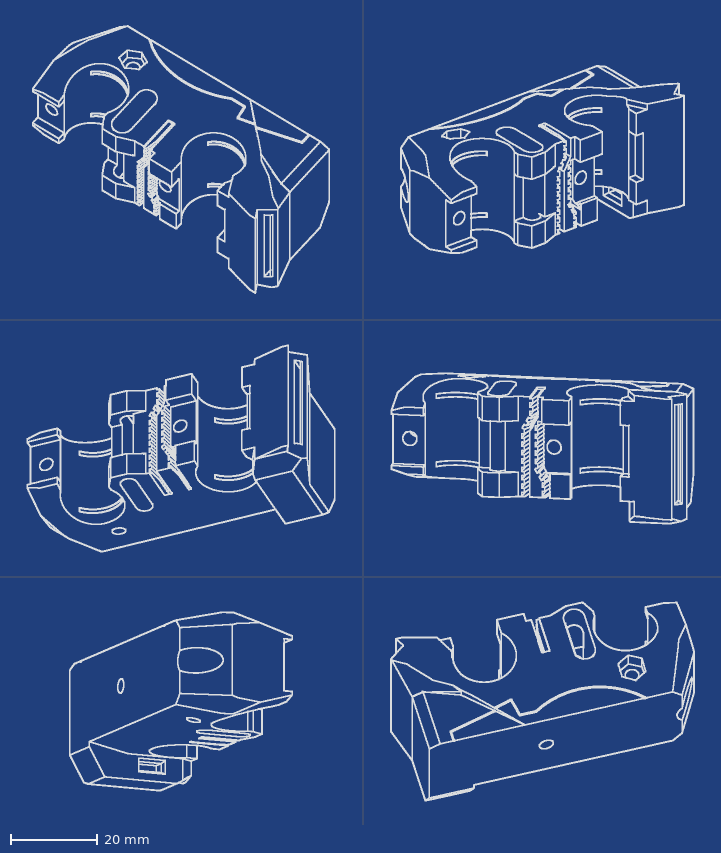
import cadquery as cq
import math


BODY_TOP = 12.0
LENGTH = 69.41
FRONT = -29.0
LIP_FRONT = -26.07
BELT_FACE = -26.9
NOSE_FRONT = -28.53
ARM_INNER_X = 7.6
NOSE_LEFT_X = 20.3
NOSE_TIP_LEFT_X = 22.0
NOSE_TIP_RIGHT_X = 26.0
BELT_FACE_LEFT_X = 30.2
BLOCK_LEFT_X = 36.03
BLOCK_RIGHT_X = 42.5
RIGHT_ARM_X = 54.25

BORE_R = 7.5
BORE_Y = -20.05
BORE_XS = (14.0, 48.0)
ARM_NECK_Y = -23.9

SLOPE_Y = -10.0
BACK_EDGE_Z = 10.0
CORNER_X = 5.8
CORNER_Y = -10.68
ARM_SLOPE_Y = -12.54
ARM_FRONT_Z = 8.0
EDGE_X = 3.19

END_TOP = 13.42
END_BOTTOM = -18.0
FRONT_BOTTOM = -15.45
END_LEFT_X = 55.8
END_LEFT_FRONT_Y = -23.86
END_CORNER = (57.5, BELT_FACE)
END_BACK_X = 66.6
BEAK_X = 65.15
BEAK_TIP_X = 66.8
RAMP_START_Y = -16.4
RAMP_END_Y = -21.5
SHELF_Z = 10.0
SHELF_BEVEL_X = 64.0
SHELF_BEVEL_SLOPE = 0.41
SHELF_FRONT_Y = -15.36

RECESS_HALF = 6.15
RECESS_Y = -24.0
BLOCK_RECESS_Y = LIP_FRONT
RIGHT_RECESS_X = 56.3
SCREW_D = 3.3
SCREW_HEAD_D = 6.0
SCREW_HEAD_DEPTH = 15.0
SCREW_XS = (4.0, 38.45)
NUT_FLATS = 5.7
NUT_FLOOR_Z = 8.45
NUT_HOLE_D = 3.2
NUT_X = 15.67
NUT_Y = -8.05

SLOT_X = 25.05
SLOT_W = 4.0
SLOT_BACK_Y = -13.4
SLOT_FRONT_Y = -26.75
SLOT_FLARE = 0.5
SLOT_FLARE_DEPTH = 2.0

BELT_FLOOR_Y = -17.35
BELT_LEAD_Y = -23.5
BELT_GAP = 0.66
BELT_MOUTH_GAP = 1.25
GROOVE_GAP = 1.88
GROOVE_W = 1.0
PITCH = 2.0
LEAN = 30.0
BLOCK_LOWER_X = 37.7
BLOCK_LOWER_Y = -27.2

RIDGE_Z = 8.15
RIDGE_W = 1.05
RIDGE_HEIGHT = 0.15
RIDGE_HALF = 5.4
SEAM = 0.2
POCKET_BACK_Y = -12.7
POCKET_FRONT_Y = -19.5
POCKET_TOP_Z = -12.8
POCKET_BOTTOM_Z = -16.05
POCKET_INSET = 0.55
POCKET_FLARE = 1.2
POCKET_DEPTH = 4.0
BEAK_SLOT_TOP = 11.3
BEAK_SLOT_BOTTOM = -12.6

BIG = 100.0
OVERCUT = 1.0


def box(x0, x1, y0, y1, z0, z1):
    """Box between two opposite corners."""
    return cq.Workplane("XY").box(x1 - x0, y1 - y0, z1 - z0, centered=False).translate((x0, y0, z0))


def prism(points, z0, z1):
    """Plan outline extruded from z0 up to z1."""
    return cq.Workplane("XY").workplane(offset=z0).polyline(points).close().extrude(z1 - z0)


def beyond_plane(p1, p2, p3, side=1):
    """Everything above (side = 1) or below (side = -1) the plane through three points."""
    a, b, c = cq.Vector(*p1), cq.Vector(*p2), cq.Vector(*p3)
    normal = (b - a).cross(c - a)
    if normal.z * side < 0:
        normal = normal * -1
    plane = cq.Plane(origin=p1, xDir=(b - a).toTuple(), normal=normal.toTuple())
    return cq.Workplane(plane).rect(2 * BIG, 2 * BIG).extrude(BIG)


def end_outline():
    """Front and right edges of the end block, from its front left corner to the back."""
    return [
        END_CORNER,
        (BEAK_X, FRONT),
        (BEAK_TIP_X, FRONT),
        (65.6, -26.75),
        (LENGTH, -23.8),
        (END_BACK_X, SHELF_FRONT_Y),
    ]


def main_body():
    """Plan outline of the whole part at full body height."""
    outline = [
        (CORNER_X, 0),
        (0, CORNER_Y),
        (0, LIP_FRONT),
        (ARM_INNER_X, LIP_FRONT),
        (ARM_INNER_X, ARM_NECK_Y),
        (NOSE_LEFT_X, ARM_NECK_Y),
        (NOSE_LEFT_X, -25.45),
        (NOSE_TIP_LEFT_X, NOSE_FRONT),
        (NOSE_TIP_RIGHT_X, NOSE_FRONT),
        (BELT_FACE_LEFT_X, BELT_FACE),
        (BLOCK_LEFT_X, BELT_FACE),
        (BLOCK_LEFT_X, FRONT),
        (BLOCK_RIGHT_X, FRONT),
        (BLOCK_RIGHT_X, ARM_NECK_Y),
        (RIGHT_ARM_X, ARM_NECK_Y),
        (RIGHT_ARM_X, BELT_FACE),
        *end_outline(),
        (END_BACK_X, 0),
    ]
    return prism(outline, -BODY_TOP, BODY_TOP)


def top_facets():
    """Material outside the sloping faces of the upper half of the main body."""
    back_edge = (8.05, 0, BACK_EDGE_Z)
    slope_corner = (4.08, SLOPE_Y, BODY_TOP)
    arm_corner = (EDGE_X, ARM_SLOPE_Y, BODY_TOP)
    arm_front = (EDGE_X, LIP_FRONT, ARM_FRONT_Z)
    side_back = (0, -12.1, 8.82)
    side_front = (0, -17.95, 9.4)
    back_slope = beyond_plane((0, 0, BACK_EDGE_Z), (BIG, 0, BACK_EDGE_Z), slope_corner)
    corner_facets = [
        beyond_plane(back_edge, slope_corner, (CORNER_X, 0, 7.8)),
        beyond_plane(slope_corner, arm_corner, side_back),
        beyond_plane(arm_corner, side_back, side_front),
        beyond_plane(arm_corner, arm_front, side_front),
    ]
    arm_slope = beyond_plane(arm_corner, (BIG, ARM_SLOPE_Y, BODY_TOP), arm_front)
    arm_slope = arm_slope.intersect(box(-OVERCUT, BORE_XS[0], FRONT, 0, 0, BIG))
    return [back_slope, arm_slope, *corner_facets]


def end_block_lower():
    """Downward extension of the end block, sloped at the back, front and right."""
    outline = [(END_LEFT_X, 0), (END_LEFT_X, END_LEFT_FRONT_Y), *end_outline(), (END_BACK_X, 0)]
    block = prism(outline, END_BOTTOM, 0)
    block = block.cut(beyond_plane((0, 0, -11.2), (BIG, 0, -11.2), (0, -3.96, END_BOTTOM), -1))
    chamfer = cq.Workplane("YZ").polyline(
        [(-22.5, END_BOTTOM), (BELT_FACE, FRONT_BOTTOM), (FRONT, FRONT_BOTTOM), (FRONT, END_BOTTOM)]
    )
    block = block.cut(chamfer.close().extrude(LENGTH))
    return block.cut(
        beyond_plane((BEAK_X, 0, END_BOTTOM), (BEAK_X, FRONT, END_BOTTOM), (LENGTH, 0, -16.3), -1)
    )


def end_block_upper():
    """Raised end: a ramp rising toward the front, then a flat. Its left edge is trimmed by the bore."""
    inside_bore = [(52.0, RAMP_START_Y), (53.5, -18.7)]
    outline = [
        *inside_bore,
        *end_outline(),
        (END_BACK_X, RAMP_START_Y),
    ]
    block = prism(outline, 0, END_TOP)
    return block.cut(
        beyond_plane((0, RAMP_START_Y, BODY_TOP), (BIG, RAMP_START_Y, BODY_TOP), (0, RAMP_END_Y, END_TOP))
    )


def cut_shelf(part):
    """Low shelf at the back right, its bevelled end and the facet rising to the raised end."""
    wall_back = (43.6, 0)
    wall_front = (55.7, -12.0)
    wall_top = (57.2, -13.85)
    shelf_front = (SHELF_BEVEL_X, -15.2)
    shelf = prism([wall_back, wall_front, shelf_front, (LENGTH, SHELF_FRONT_Y), (LENGTH, 0)], SHELF_Z, BIG)
    facet = beyond_plane((*wall_top, BODY_TOP), (61.1, -16.3, BODY_TOP), (66.25, RAMP_END_Y, END_TOP))
    facet_outline = [
        shelf_front,
        wall_front,
        wall_top,
        (wall_top[0], FRONT),
        (LENGTH, FRONT),
        (LENGTH, SHELF_FRONT_Y),
    ]
    facet = facet.intersect(prism(facet_outline, 0, BIG))
    bevel = beyond_plane(
        (SHELF_BEVEL_X, 0, SHELF_Z),
        (SHELF_BEVEL_X, FRONT, SHELF_Z),
        (SHELF_BEVEL_X + 1, 0, SHELF_Z - SHELF_BEVEL_SLOPE),
    )
    bevel = bevel.intersect(box(SHELF_BEVEL_X, LENGTH, SHELF_FRONT_Y, 0, 0, BIG))
    return part.cut(shelf).cut(facet).cut(bevel)


def bore_cutter(x):
    """Bearing bore less the two thin ridges that grip the bearing at the back."""
    bore = cq.Workplane("XY").circle(BORE_R).extrude(2 * BIG).translate((0, 0, -BIG))
    bore = bore.rotate((0, 0, 0), (0, 0, 1), -90)
    core = cq.Workplane("XY").circle(BORE_R - RIDGE_HEIGHT).extrude(2 * BIG).translate((0, 0, -BIG))
    for side in (1, -1):
        ridge = cq.Workplane("XY").box(2 * RIDGE_HALF, BORE_R, RIDGE_W)
        ridge = ridge.translate((0, BORE_R / 2, side * RIDGE_Z))
        bore = bore.cut(ridge.cut(core))
    return bore.translate((x, BORE_Y, 0))


def recess_cutter():
    """Mid-height recesses at the bore mouths, and the set-back lower part of the middle block."""
    low, high = -RECESS_HALF, RECESS_HALF
    slot_right = SLOT_X + SLOT_W / 2
    recess = box(-OVERCUT, ARM_INNER_X + OVERCUT, FRONT, RECESS_Y, low, high)
    recess = recess.union(box(NOSE_LEFT_X - OVERCUT, slot_right, FRONT, RECESS_Y, low, high))
    recess = recess.union(box(slot_right, BLOCK_RIGHT_X + OVERCUT, FRONT, BELT_FACE, low, high))
    recess = recess.union(box(BLOCK_LEFT_X, BLOCK_RIGHT_X + OVERCUT, FRONT, BLOCK_RECESS_Y, low, high))
    recess = recess.union(box(RIGHT_ARM_X - OVERCUT, RIGHT_RECESS_X, FRONT, RECESS_Y, low, high))
    recess = recess.union(box(BLOCK_LEFT_X, BLOCK_RIGHT_X + OVERCUT, FRONT, BLOCK_LOWER_Y, -BODY_TOP, low))
    return recess.union(box(BLOCK_LEFT_X, BLOCK_LOWER_X, FRONT, BELT_FACE, -BODY_TOP, low))


def slot_cutter():
    """Vertical cable slot with a flared top."""
    length = SLOT_BACK_Y - SLOT_FRONT_Y
    y = (SLOT_BACK_Y + SLOT_FRONT_Y) / 2
    slot = cq.Workplane("XY").slot2D(length, SLOT_W, 90).extrude(2 * BODY_TOP)
    rim = (
        cq.Workplane("XY")
        .slot2D(length + 2 * SLOT_FLARE, SLOT_W + 2 * SLOT_FLARE, 90)
        .extrude(-SLOT_FLARE_DEPTH, taper=math.degrees(math.atan2(SLOT_FLARE, SLOT_FLARE_DEPTH)))
        .translate((0, 0, 2 * BODY_TOP))
    )
    return slot.union(rim).translate((SLOT_X, y, -BODY_TOP))


def belt_slot(wall, lean, groove_runs):
    """Belt slot whose right wall is a vertical, leaning, vertical path.

    wall lists the four (x, z) path points from the top, lean is the sideways direction
    (-1 left, 1 right) of the middle leg going down. Each groove run is (leg index, z of the
    first groove, number of grooves), counted downward.
    """
    miter = -lean * math.tan(math.radians(LEAN / 2))

    def offset(gap):
        (x0, z0), (x1, z1), (x2, z2), (x3, z3) = wall
        return [(x0 - gap, z0), (x1 - gap, z1 + miter * gap), (x2 - gap, z2 + miter * gap), (x3 - gap, z3)]

    def strip(gap):
        return wall + offset(gap)[::-1]

    slot = cq.Workplane("XZ", origin=(0, BELT_FLOOR_Y, 0)).polyline(strip(BELT_GAP)).close()
    slot = slot.extrude(BELT_FLOOR_Y - BELT_FACE)
    lead_in = cq.Workplane("XZ", origin=(0, BELT_LEAD_Y, 0)).polyline(strip(BELT_GAP)).close()
    lead_in = lead_in.workplane(offset=BELT_LEAD_Y - BELT_FACE).polyline(strip(BELT_MOUTH_GAP)).close()
    slot = slot.union(lead_in.loft(ruled=True))

    bottoms = offset(GROOVE_GAP)
    for leg, first_z, count in groove_runs:
        (xa, za), (xb, zb) = bottoms[leg], bottoms[leg + 1]
        angle = math.atan2(xb - xa, za - zb)
        for i in range(count):
            z = first_z - i * PITCH * math.cos(angle)
            x = xa + (za - z) * math.tan(angle)
            groove = box(0, GROOVE_GAP - BELT_GAP / 2, BELT_FACE, BELT_FLOOR_Y, -GROOVE_W / 2, GROOVE_W / 2)
            groove = groove.rotate((0, 0, 0), (0, 1, 0), -math.degrees(angle))
            slot = slot.union(groove.translate((x, 0, z)))
    return slot


def left_belt_slot():
    """Belt slot that runs the full body height."""
    top_x, bottom_x, bend_z = 34.78, 32.85, 7.2
    lower_bend_z = bend_z - (top_x - bottom_x) / math.tan(math.radians(LEAN))
    wall = [(top_x, BODY_TOP), (top_x, bend_z), (bottom_x, lower_bend_z), (bottom_x, -BODY_TOP)]
    return belt_slot(wall, -1, [(0, 12.03, 3), (1, 6.65, 2), (2, 2.55, 8)])


def right_belt_slot():
    """Belt slot that starts under the upper part of the middle block."""
    top_x, bottom_x, bend_z = BLOCK_LEFT_X, BLOCK_LOWER_X, -4.9
    lower_bend_z = bend_z - (bottom_x - top_x) / math.tan(math.radians(LEAN))
    wall = [(top_x, RECESS_HALF), (top_x, bend_z), (bottom_x, lower_bend_z), (bottom_x, -BODY_TOP)]
    return belt_slot(wall, 1, [(0, 4.6, 5), (1, -5.75, 2), (2, -9.0, 2)])


def screw_cutter():
    """Front-to-back screw holes; the left one has a head counterbore from the back."""
    holes = cq.Workplane("XZ").pushPoints([(x, 0) for x in SCREW_XS]).circle(SCREW_D / 2).extrude(-FRONT)
    head = cq.Workplane("XZ").center(SCREW_XS[0], 0).circle(SCREW_HEAD_D / 2).extrude(SCREW_HEAD_DEPTH)
    return holes.union(head)


def nut_cutter():
    """Vertical screw hole with a hexagonal nut pocket from the top, points along Y."""
    corners = NUT_FLATS / math.cos(math.radians(30))
    hole = cq.Workplane("XY").circle(NUT_HOLE_D / 2).extrude(2 * BODY_TOP).translate((0, 0, -BODY_TOP))
    nut = cq.Workplane("XY").polygon(6, corners).extrude(BODY_TOP)
    nut = nut.rotate((0, 0, 0), (0, 0, 1), 30).translate((0, 0, NUT_FLOOR_Z))
    return hole.union(nut).translate((NUT_X, NUT_Y, 0))


def pocket_cutter():
    """Flared pocket in the left face of the lower end block."""
    y = (POCKET_BACK_Y + POCKET_FRONT_Y) / 2
    z = (POCKET_TOP_Z + POCKET_BOTTOM_Z) / 2
    width = POCKET_BACK_Y - POCKET_FRONT_Y
    height = POCKET_TOP_Z - POCKET_BOTTOM_Z
    inner_width = width - 2 * POCKET_INSET
    inner_height = height - 2 * POCKET_INSET
    mouth = cq.Workplane("YZ", origin=(END_LEFT_X, y, z)).rect(width, height)
    flare = mouth.workplane(offset=POCKET_FLARE).rect(inner_width, inner_height).loft(ruled=True)
    deep = cq.Workplane("YZ", origin=(END_LEFT_X, y, z)).rect(inner_width, inner_height).extrude(POCKET_DEPTH)
    return flare.union(deep)


def beak_slot_cutter():
    """Tall triangular slot sunk into the notch face of the beak."""
    left_x, right_x = 66.9, 68.4
    outline = [(left_x, -26.2), (right_x, -24.45), (left_x, -21.5)]
    return prism(outline, BEAK_SLOT_BOTTOM, BEAK_SLOT_TOP)


def seam_path():
    """Outer edge of the seam: an arc from the back face, a flat, a step and a long return."""
    flat_y = -2.8
    right_x = 60.8
    path = cq.Workplane("XY").moveTo(14.3, 0).threePointArc((29.5, -5.85), (40.2, flat_y))
    return path.lineTo(44.0, flat_y).lineTo(45.0, -6.95).lineTo(right_x, flat_y).lineTo(right_x, 0)


def seam_cutter(top_skin):
    """Fine groove of even depth, following the back slope and the shelf."""
    outer = seam_path().close().extrude(BIG)
    inner = seam_path().close().offset2D(-SEAM).extrude(BIG)
    inner = inner.union(inner.translate((0, SEAM, 0)))
    return outer.cut(inner).intersect(top_skin)


body = main_body()
for facet_cutter in top_facets():
    body = body.cut(facet_cutter).cut(facet_cutter.mirror("XY"))
body = body.union(end_block_lower()).union(end_block_upper())
body = cut_shelf(body)
top_skin = body.cut(body.translate((0, 0, -SEAM))).intersect(box(0, LENGTH, SLOPE_Y, 0, 0, BIG))
body = body.cut(seam_cutter(top_skin))
for bore_x in BORE_XS:
    body = body.cut(bore_cutter(bore_x))
for cutter in (
    recess_cutter(),
    slot_cutter(),
    left_belt_slot(),
    right_belt_slot(),
    screw_cutter(),
    nut_cutter(),
    pocket_cutter(),
    beak_slot_cutter(),
):
    body = body.cut(cutter)

result = body